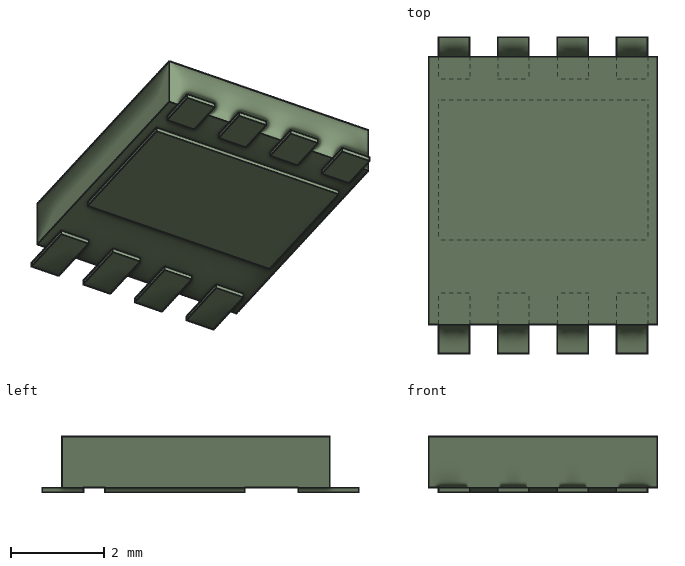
import cadquery as cq

BODY_WIDTH = 4.90
BODY_LENGTH = 5.74
TOTAL_HEIGHT = 1.20

METAL_THICKNESS = 0.10
BODY_HEIGHT = TOTAL_HEIGHT - METAL_THICKNESS

LEADS_PER_ROW = 4
LEAD_PITCH = 1.27
LEAD_WIDTH = 0.67
FRONT_LEAD_LENGTH = 1.30
FRONT_LEAD_OVERHANG = 0.62
BACK_LEAD_LENGTH = 0.89
BACK_LEAD_OVERHANG = 0.42

FRONT_TIP_Y = -BODY_LENGTH / 2 - FRONT_LEAD_OVERHANG
BACK_TIP_Y = BODY_LENGTH / 2 + BACK_LEAD_OVERHANG
BACK_LEAD_START_Y = BACK_TIP_Y - BACK_LEAD_LENGTH

PAD_WIDTH = (LEADS_PER_ROW - 1) * LEAD_PITCH + LEAD_WIDTH
PAD_LENGTH = 3.00
PAD_TO_BACK_LEAD_GAP = 0.45
PAD_START_Y = BACK_LEAD_START_Y - PAD_TO_BACK_LEAD_GAP - PAD_LENGTH


def make_body():
    """Plain block resting on the metal."""
    return (
        cq.Workplane("XY")
        .workplane(offset=METAL_THICKNESS)
        .rect(BODY_WIDTH, BODY_LENGTH)
        .extrude(BODY_HEIGHT)
    )


def make_metal_strip(center_x, start_y, width, length):
    """Flat strip on the base plane, running in +Y from start_y."""
    return (
        cq.Workplane("XY")
        .center(center_x, start_y + length / 2)
        .rect(width, length)
        .extrude(METAL_THICKNESS)
    )


def make_lead_row(start_y, length):
    """One row of separate leads, evenly spaced about X = 0."""
    first_x = -(LEADS_PER_ROW - 1) * LEAD_PITCH / 2
    leads = []
    for index in range(LEADS_PER_ROW):
        lead_x = first_x + index * LEAD_PITCH
        lead = make_metal_strip(lead_x, start_y, LEAD_WIDTH, length)
        leads.append(lead.val())
    return leads


body = make_body()
thermal_pad = make_metal_strip(0, PAD_START_Y, PAD_WIDTH, PAD_LENGTH)
front_leads = make_lead_row(FRONT_TIP_Y, FRONT_LEAD_LENGTH)
back_leads = make_lead_row(BACK_LEAD_START_Y, BACK_LEAD_LENGTH)

result = cq.Compound.makeCompound([body.val(), thermal_pad.val(), *front_leads, *back_leads])